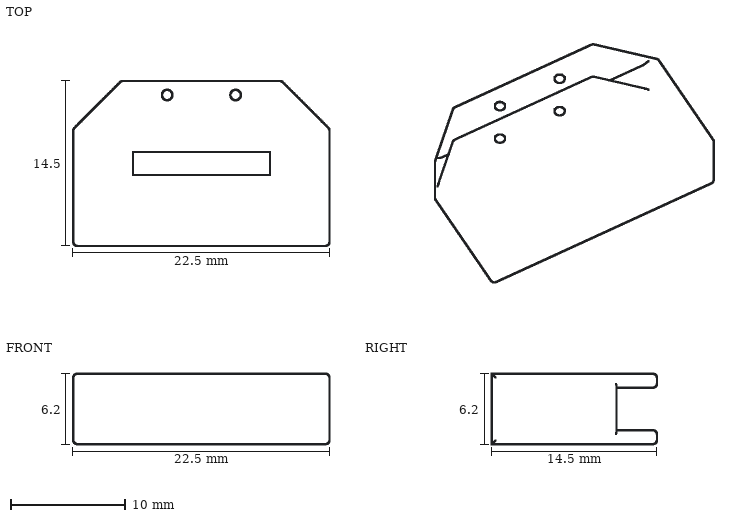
import cadquery as cq
import math

WIDTH = 22.5
DEPTH = 14.5
HEIGHT = 6.2
CORNER_EDGE = 6.0
CORNER_CUT = CORNER_EDGE / math.sqrt(2)
EDGE_RADIUS = 0.4

PRONG_THICKNESS = 1.25
SLOT_HEIGHT = HEIGHT - 2 * PRONG_THICKNESS
SLOT_DEPTH = 3.55

POCKET_LENGTH = 12.0
POCKET_WIDTH = 2.0
POCKET_DEPTH = 0.6

HOLE_DIAMETER = 0.9
HOLE_SPACING = 6.0
HOLE_REAR_OFFSET = 1.25

REAR_Y = DEPTH / 2
FRONT_Y = -DEPTH / 2
TOP_Z = HEIGHT / 2
SLOT_FLOOR_Y = REAR_Y - SLOT_DEPTH


def make_body():
    """Block with its two rear corners cut off."""
    block = cq.Workplane("XY").box(WIDTH, DEPTH, HEIGHT)
    return block.edges("|Z and >Y").chamfer(CORNER_CUT)


def make_slot():
    """Cutter for the rear slot, running the full width."""
    return (
        cq.Workplane("XY")
        .box(WIDTH, SLOT_DEPTH, SLOT_HEIGHT)
        .translate((0, REAR_Y - SLOT_DEPTH / 2, 0))
    )


def round_edges(body):
    """Round every edge but the front top and bottom ones and the slot's inner corners."""
    front_edges = cq.selectors.BoxSelector(
        (-WIDTH, FRONT_Y - EDGE_RADIUS, -HEIGHT),
        (WIDTH, FRONT_Y + EDGE_RADIUS, HEIGHT),
    )
    slot_floor_edges = cq.selectors.BoxSelector(
        (-WIDTH, SLOT_FLOOR_Y - EDGE_RADIUS, -HEIGHT),
        (WIDTH, SLOT_FLOOR_Y + EDGE_RADIUS, HEIGHT),
    )
    along_x = cq.selectors.ParallelDirSelector(cq.Vector(1, 0, 0))
    sharp_edges = along_x & (front_edges + slot_floor_edges)
    return body.edges(-sharp_edges).fillet(EDGE_RADIUS)


def make_pocket():
    """Cutter for the rectangular pocket in the top face."""
    return (
        cq.Workplane("XY")
        .box(POCKET_LENGTH, POCKET_WIDTH, POCKET_DEPTH)
        .translate((0, 0, TOP_Z - POCKET_DEPTH / 2))
    )


def make_holes():
    """Cutter for the pair of pin holes."""
    hole_y = REAR_Y - HOLE_REAR_OFFSET
    return (
        cq.Workplane("XY")
        .pushPoints([(-HOLE_SPACING / 2, hole_y), (HOLE_SPACING / 2, hole_y)])
        .circle(HOLE_DIAMETER / 2)
        .extrude(HEIGHT / 2, both=True)
    )


rounded_body = round_edges(make_body().cut(make_slot()))
result = rounded_body.cut(make_pocket()).cut(make_holes())